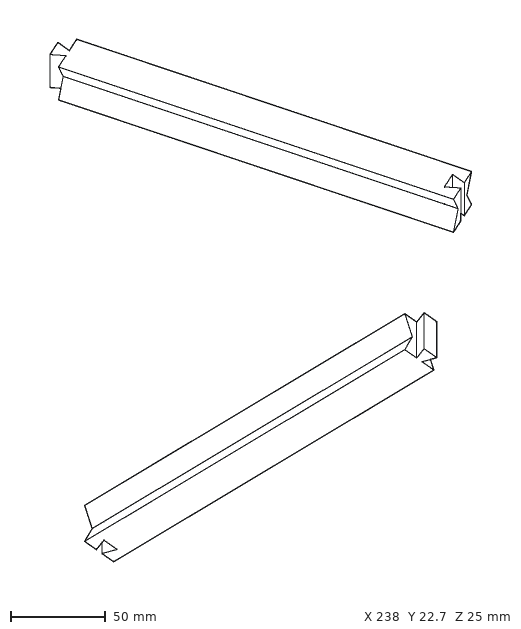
import cadquery as cq
import math

body_length = 230.0
height = 25.0
waist_width = 11.0
groove_angle = 25.0

tenon_length = 8.0
tenon_tip_width = 10.0
socket_clearance = 0.2
dovetail_angle = 20.0

half_height = height / 2
half_waist = waist_width / 2
half_width = half_waist + half_height * math.tan(math.radians(groove_angle))
socket_depth = tenon_length + socket_clearance
socket_floor_width = tenon_tip_width + socket_clearance


def make_body():
    """Waisted bar running along X from the origin, centred on Y and Z."""
    profile = [
        (-half_width, -half_height),
        (half_width, -half_height),
        (half_waist, 0),
        (half_width, half_height),
        (-half_width, half_height),
        (-half_waist, 0),
    ]
    return cq.Workplane("YZ").polyline(profile).close().extrude(body_length)


def make_dovetail(wide_x, length, wide_width):
    """Full-height dovetail prism, narrowing in +X from its wide end at wide_x."""
    half_wide = wide_width / 2
    half_narrow = half_wide - length * math.tan(math.radians(dovetail_angle))
    outline = [
        (wide_x, -half_wide),
        (wide_x + length, -half_narrow),
        (wide_x + length, half_narrow),
        (wide_x, half_wide),
    ]
    return cq.Workplane("XY").polyline(outline).close().extrude(half_height, both=True)


tenon = make_dovetail(-tenon_length, tenon_length, tenon_tip_width)
socket = make_dovetail(body_length - socket_depth, socket_depth, socket_floor_width)

result = make_body().union(tenon).cut(socket)